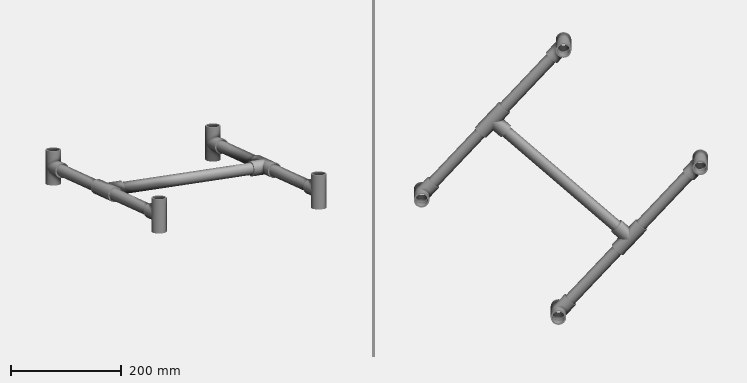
import cadquery as cq

FRAME_LENGTH = 410.0
FRAME_WIDTH = 360.0

PIPE_DIAMETER = 22.0
BORE_DIAMETER = 20.0

TEE_DIAMETER = 28.0
TEE_RUN_LENGTH = 63.5
TEE_ARM = TEE_RUN_LENGTH / 2
MOUTH_WALL = 2.75
SOCKET_MOUTH_DIAMETER = TEE_DIAMETER - 2 * MOUTH_WALL
SOCKET_BOTTOM = TEE_DIAMETER / 2
SOCKET_DEPTH = TEE_ARM - SOCKET_BOTTOM

END_X = (FRAME_LENGTH - TEE_DIAMETER) / 2
RAIL_Y = (FRAME_WIDTH - TEE_DIAMETER) / 2

RAIL_PIPE_LENGTH = 2 * (END_X - SOCKET_BOTTOM)
CROSS_PIPE_LENGTH = 2 * (RAIL_Y - SOCKET_BOTTOM)

ORIGIN = (0, 0, 0)
X_AXIS = (1, 0, 0)
Z_AXIS = (0, 0, 1)
SIDES = (-1, 1)


def centred_cylinder(plane, diameter, length):
    """Solid cylinder along the normal of a plane, with its middle on the origin."""
    start = cq.Workplane(plane).workplane(offset=-length / 2)
    return start.circle(diameter / 2).extrude(length)


def tee_arms(run_diameter, branch_diameter):
    """Round bars filling the run along Z and the branch along +X."""
    run = centred_cylinder("XY", run_diameter, TEE_RUN_LENGTH)
    branch = cq.Workplane("YZ").circle(branch_diameter / 2).extrude(TEE_ARM)
    return run.union(branch)


def socket_space(direction):
    """Slightly tapered space of the socket in the arm that points along a unit vector."""
    outward = cq.Vector(*direction)
    cone = cq.Solid.makeCone(
        SOCKET_MOUTH_DIAMETER / 2,
        PIPE_DIAMETER / 2,
        SOCKET_DEPTH,
        pnt=outward * TEE_ARM,
        dir=outward * -1,
    )
    return cq.Workplane(cone)


def make_tee(run_bore):
    """Tee centred on the origin, with its run along Z and its branch along +X."""
    tee = tee_arms(TEE_DIAMETER, TEE_DIAMETER).cut(tee_arms(run_bore, BORE_DIAMETER))
    for direction in ((0, 0, 1), (0, 0, -1), (1, 0, 0)):
        tee = tee.cut(socket_space(direction))
    return tee


def make_end_tee(x_side, y_side):
    """Corner tee with an upright open run and its branch pointing inwards along the rail."""
    turn = 180 if x_side > 0 else 0
    tee = make_tee(BORE_DIAMETER).rotate(ORIGIN, Z_AXIS, turn)
    return tee.translate((x_side * END_X, y_side * RAIL_Y, 0))


def make_middle_tee(y_side):
    """Tee with the rail pipe passing through its run and its branch pointing inwards along Y."""
    flat_tee = make_tee(PIPE_DIAMETER).rotate(ORIGIN, X_AXIS, 90)
    tee = flat_tee.rotate(ORIGIN, Z_AXIS, -90 * y_side)
    return tee.translate((0, y_side * RAIL_Y, 0))


def make_pipe(plane, length):
    """Straight tube along the normal of a plane, with its middle on the origin."""
    outside = centred_cylinder(plane, PIPE_DIAMETER, length)
    return outside.cut(centred_cylinder(plane, BORE_DIAMETER, length))


def make_rail_pipe(y_side):
    """Pipe along X that passes through a middle tee and ends in two end tees."""
    return make_pipe("YZ", RAIL_PIPE_LENGTH).translate((0, y_side * RAIL_Y, 0))


def make_cross_pipe():
    """Pipe along Y that joins the two middle tees."""
    return make_pipe("XZ", CROSS_PIPE_LENGTH)


end_tees = [make_end_tee(x_side, y_side) for x_side in SIDES for y_side in SIDES]
middle_tees = [make_middle_tee(y_side) for y_side in SIDES]
rail_pipes = [make_rail_pipe(y_side) for y_side in SIDES]
cross_pipe = make_cross_pipe()

bodies = [*end_tees, *middle_tees, *rail_pipes, cross_pipe]
result = cq.Compound.makeCompound([body.solids().val() for body in bodies])